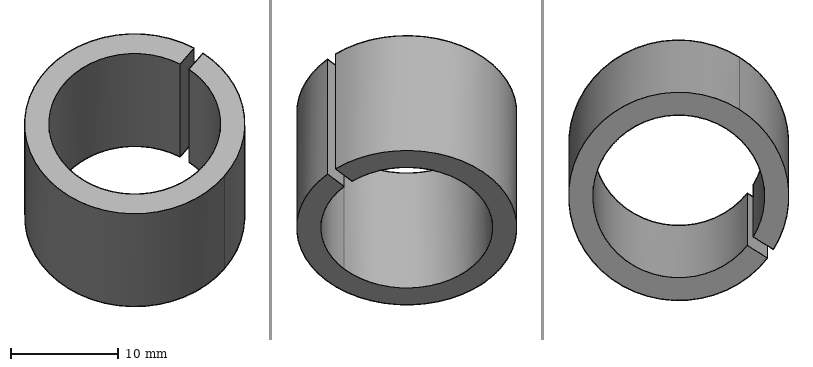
import cadquery as cq

outer_diameter = 20.5
wall_thickness = 2.25
height = 15.0
slit_width = 1.0

outer_radius = outer_diameter / 2
bore_diameter = outer_diameter - 2 * wall_thickness

sleeve = cq.Workplane("XY").circle(outer_radius).circle(bore_diameter / 2).extrude(height)

slit = cq.Workplane("XY").box(slit_width, outer_radius, height, centered=(True, False, False))

result = sleeve.cut(slit)